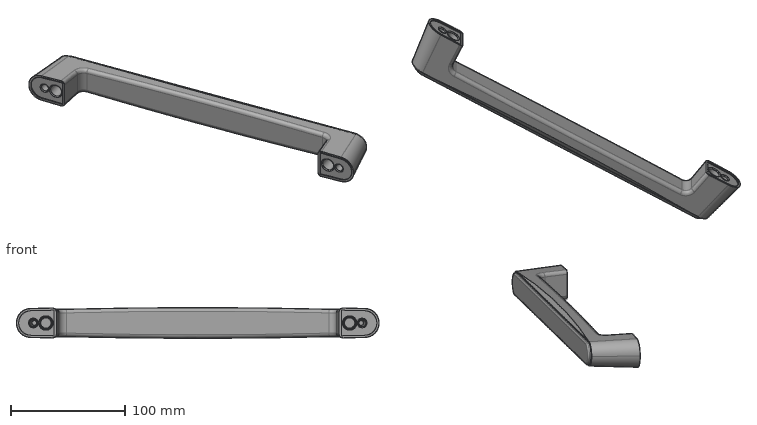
import cadquery as cq
import math


HANDLE_LENGTH = 318.0
HANDLE_DEPTH = 44.5

LEDGE_Y = 41.8
LEDGE_LENGTH = 302.0
FOOT_END_RADIUS = 12.75
FOOT_MID_HALF_WIDTH = 14.57
MID_DRAFT = 0.0335
END_DRAFT = 0.045

GRIP_FRONT_Y = 26.5
OPENING_HALF_AT_FOOT = 124.0
OPENING_HALF_AT_GRIP = 121.0
OPENING_CORNER_RADIUS = 6.5
OPENING_EDGE_RADIUS = 3.3

FLAT_TOP_HALF_WIDTH = 10.9
FLAT_SLOPE = 0.55
FLAT_DROP = 10.0

STRIP_LENGTH = 295.0
STRIP_HALF_WIDTH = 10.0
STRIP_ARC_START_X = 139.75
STRIP_EDGE_RADIUS = 1.3

RIM_WIDTH = 2.0
RECESS_DEPTH = 1.0
SOCKET_X = 133.1
SOCKET_MOUTH_RADIUS = 6.3
SOCKET_FLOOR_RADIUS = 4.6
SCREW_MOUTH_X = 144.1
SCREW_FLOOR_X = 143.2
SCREW_MOUTH_RADIUS = 4.2
SCREW_FLOOR_RADIUS = 2.1
MOUTH_BEVEL = 0.9
HOLE_DEPTH = 25.0

CLEARANCE = 1.0


def plane_at(y):
    """Workplane at depth y whose local axes are X and Z."""
    return cq.Workplane("XZ", origin=(0, y, 0))


def bowed_outline(plane, length, mid_half_width, end_radius):
    """Closed outline with round ends and long sides that bow outward, all arcs tangent."""
    half_length = length / 2
    end_centre_x = half_length - end_radius
    side_radius = (end_centre_x**2 + mid_half_width**2 - end_radius**2) / (2 * (mid_half_width - end_radius))
    tilt = math.asin(end_centre_x / (side_radius - end_radius))
    tangent_x = end_centre_x + end_radius * math.sin(tilt)
    tangent_z = end_radius * math.cos(tilt)
    quarter_x = end_centre_x + end_radius * math.cos(math.pi / 4)
    quarter_z = end_radius * math.sin(math.pi / 4)
    return (
        plane.moveTo(-tangent_x, tangent_z)
        .threePointArc((0, mid_half_width), (tangent_x, tangent_z))
        .threePointArc((quarter_x, quarter_z), (half_length, 0))
        .threePointArc((quarter_x, -quarter_z), (tangent_x, -tangent_z))
        .threePointArc((0, -mid_half_width), (-tangent_x, -tangent_z))
        .threePointArc((-quarter_x, -quarter_z), (-half_length, 0))
        .threePointArc((-quarter_x, quarter_z), (-tangent_x, tangent_z))
        .close()
    )


def drafted_block():
    """Bowed block that narrows from the foot plane to the ledge."""
    ledge_mid_half_width = FOOT_MID_HALF_WIDTH - MID_DRAFT * LEDGE_Y
    ledge_end_radius = FOOT_END_RADIUS - END_DRAFT * LEDGE_Y
    foot = bowed_outline(plane_at(0), HANDLE_LENGTH, FOOT_MID_HALF_WIDTH, FOOT_END_RADIUS)
    ledge = bowed_outline(plane_at(LEDGE_Y), LEDGE_LENGTH, ledge_mid_half_width, ledge_end_radius)
    return cq.Workplane(cq.Solid.makeLoft([foot.wire().val(), ledge.wire().val()], True))


def leg_opening():
    """Trapezoid between the legs, with rounded upper corners."""
    reach = FOOT_MID_HALF_WIDTH + CLEARANCE
    return (
        cq.Workplane("XY", origin=(0, 0, -reach))
        .moveTo(-OPENING_HALF_AT_FOOT, 0)
        .lineTo(-OPENING_HALF_AT_GRIP, GRIP_FRONT_Y)
        .lineTo(OPENING_HALF_AT_GRIP, GRIP_FRONT_Y)
        .lineTo(OPENING_HALF_AT_FOOT, 0)
        .close()
        .extrude(2 * reach)
        .edges("|Z and >Y")
        .fillet(OPENING_CORNER_RADIUS)
    )


def back_edge_cutter(side):
    """Wedge that slopes off one long back edge; side is +1 or -1 along Z."""
    top = LEDGE_Y
    low_half_width = FLAT_TOP_HALF_WIDTH + FLAT_SLOPE * FLAT_DROP
    return (
        cq.Workplane("YZ", origin=(-HANDLE_LENGTH / 2, 0, 0))
        .moveTo(top, side * FLAT_TOP_HALF_WIDTH)
        .lineTo(top - FLAT_DROP, side * low_half_width)
        .lineTo(top, side * low_half_width)
        .close()
        .extrude(HANDLE_LENGTH)
    )


def foot_recesses():
    """Shallow recesses that leave a rim around both foot faces."""
    length = HANDLE_LENGTH - 2 * RIM_WIDTH
    mid_half_width = FOOT_MID_HALF_WIDTH - RIM_WIDTH
    end_radius = FOOT_END_RADIUS - RIM_WIDTH
    slab = bowed_outline(plane_at(0), length, mid_half_width, end_radius).extrude(-RECESS_DEPTH)
    gap_length = 2 * (OPENING_HALF_AT_FOOT + RIM_WIDTH)
    between_feet = plane_at(0).rect(gap_length, 2 * FOOT_MID_HALF_WIDTH).extrude(-RECESS_DEPTH)
    return slab.cut(between_feet)


def frustum(start_y, start_x, start_radius, end_y, end_x, end_radius):
    """Round tapered plug along Y between two circles."""
    start = plane_at(start_y).center(start_x, 0).circle(start_radius)
    return start.workplane(offset=start_y - end_y).center(end_x - start_x, 0).circle(end_radius).loft()


def tapered_hole(mouth_x, mouth_radius, floor_x, floor_radius):
    """Blind hole from the recess face: an opening bevel, then a taper down to a flat floor."""
    bevel_y = RECESS_DEPTH + MOUTH_BEVEL
    throat_radius = mouth_radius - MOUTH_BEVEL
    bevel = frustum(RECESS_DEPTH, mouth_x, mouth_radius, bevel_y, mouth_x, throat_radius)
    bore = frustum(bevel_y, mouth_x, throat_radius, HOLE_DEPTH, floor_x, floor_radius)
    return bevel.union(bore)


def make_housing():
    """Bridge with two feet, rounded along the opening, with recessed and drilled foot faces."""
    opened = drafted_block().cut(leg_opening())
    inner_face_edges = cq.selectors.BoxSelector(
        (-OPENING_HALF_AT_FOOT - CLEARANCE, CLEARANCE, -2 * FOOT_MID_HALF_WIDTH),
        (OPENING_HALF_AT_FOOT + CLEARANCE, GRIP_FRONT_Y + CLEARANCE, 2 * FOOT_MID_HALF_WIDTH),
    )
    body = opened.edges(inner_face_edges).edges("not |Z").fillet(OPENING_EDGE_RADIUS)
    for side in (-1, 1):
        body = body.cut(back_edge_cutter(side))
    body = body.cut(foot_recesses())
    for end in (-1, 1):
        socket_x = end * SOCKET_X
        socket = tapered_hole(socket_x, SOCKET_MOUTH_RADIUS, socket_x, SOCKET_FLOOR_RADIUS)
        screw_mouth_x = end * SCREW_MOUTH_X
        screw_floor_x = end * SCREW_FLOOR_X
        screw_hole = tapered_hole(screw_mouth_x, SCREW_MOUTH_RADIUS, screw_floor_x, SCREW_FLOOR_RADIUS)
        body = body.cut(socket).cut(screw_hole)
    return body


def make_cover_strip():
    """Flat strip with arc ends and a rounded outer edge."""
    return (
        plane_at(LEDGE_Y)
        .moveTo(-STRIP_ARC_START_X, STRIP_HALF_WIDTH)
        .lineTo(STRIP_ARC_START_X, STRIP_HALF_WIDTH)
        .threePointArc((STRIP_LENGTH / 2, 0), (STRIP_ARC_START_X, -STRIP_HALF_WIDTH))
        .lineTo(-STRIP_ARC_START_X, -STRIP_HALF_WIDTH)
        .threePointArc((-STRIP_LENGTH / 2, 0), (-STRIP_ARC_START_X, STRIP_HALF_WIDTH))
        .close()
        .extrude(LEDGE_Y - HANDLE_DEPTH)
        .faces(">Y")
        .edges()
        .fillet(STRIP_EDGE_RADIUS)
    )


housing = make_housing()
cover_strip = make_cover_strip()

result = cq.Compound.makeCompound([*housing.solids().vals(), cover_strip.val()])